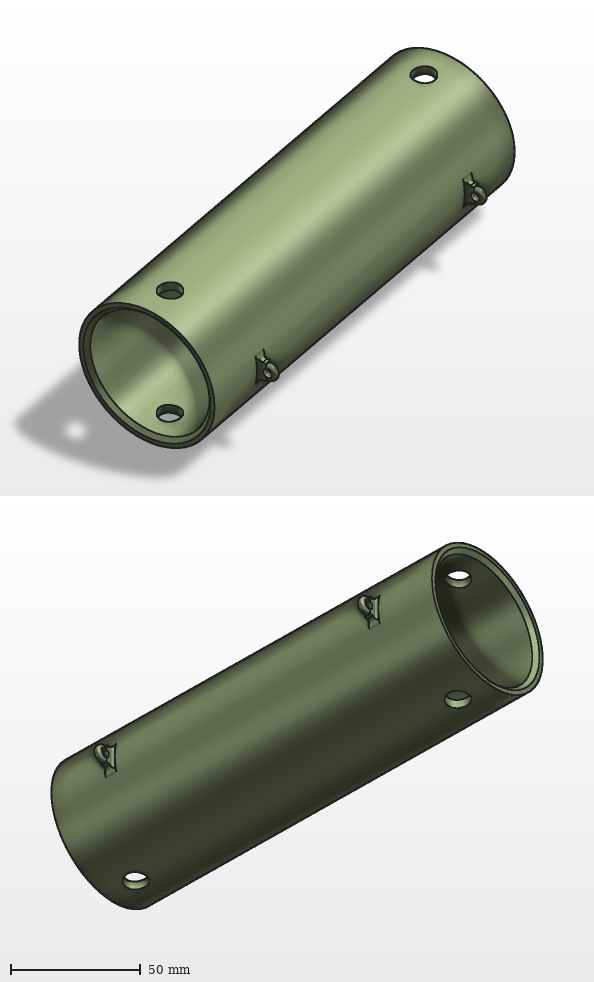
import cadquery as cq
import math

tube_length = 195.0
outer_diameter = 65.0
bore_diameter = 57.0
mouth_chamfer = 2.0

cross_hole_diameter = 10.3
cross_hole_inset = 15.0

eyelet_inset = 30.0
overall_width = 73.1
eyelet_diameter = 8.0
eyelet_hole_diameter = 4.0
eyelet_thickness = 3.0
eyelet_rounding = 1.2
neck_width = 8.5
neck_end = 35.9
flare_width = 14.0
flare_end = 34.3
flare_sag = 0.4
root_fillet = 1.2

outer_radius = outer_diameter / 2
eyelet_reach = overall_width - outer_radius
eyelet_center = eyelet_reach - eyelet_diameter / 2
neck_start = (outer_radius + bore_diameter / 2) / 2
flare_start = math.sqrt(outer_radius**2 - (flare_width / 2) ** 2)
flare_run = flare_end - flare_start
flare_rise = (flare_width - neck_width) / 2
flare_chord = math.hypot(flare_run, flare_rise)
flare_middle = (flare_start + flare_end) / 2 - flare_sag * flare_rise / flare_chord
flare_middle_height = (flare_width + neck_width) / 4 - flare_sag * flare_run / flare_chord
base_half_depth = eyelet_thickness / 2 + root_fillet
cross_hole_y = tube_length / 2 - cross_hole_inset
eyelet_y = tube_length / 2 - eyelet_inset


def centered_rod(diameter, length):
    """Cylinder along Y, centred on the origin."""
    return cq.Workplane("XZ").circle(diameter / 2).extrude(length / 2, both=True)


def flared_strip(workplane, start, middle, end, tip_x, depth):
    """Strip symmetric about X, narrowing along concave arcs from start through middle to end."""
    outline = (
        workplane.moveTo(neck_start, -start[1])
        .lineTo(start[0], -start[1])
        .threePointArc((middle[0], -middle[1]), (end[0], -end[1]))
        .lineTo(tip_x, -end[1])
        .lineTo(tip_x, end[1])
        .lineTo(*end)
        .threePointArc(middle, start)
        .lineTo(neck_start, start[1])
        .close()
    )
    return outline.extrude(depth / 2, both=True)


def make_eyelet():
    """Ring with rounded rims on a neck that flares into the tube wall."""
    ring = centered_rod(eyelet_diameter, eyelet_thickness).edges("%CIRCLE").fillet(eyelet_rounding)
    tall_flare = flared_strip(
        cq.Workplane("XZ"),
        (flare_start, flare_width / 2),
        (flare_middle, flare_middle_height),
        (flare_end, neck_width / 2),
        neck_end,
        2 * base_half_depth,
    )
    half_thickness = eyelet_thickness / 2
    fillet_end = outer_radius + root_fillet
    fillet_offset = root_fillet * math.sqrt(0.5)
    side_flare = flared_strip(
        cq.Workplane("XY"),
        (outer_radius, base_half_depth),
        (fillet_end - fillet_offset, base_half_depth - fillet_offset),
        (fillet_end, half_thickness),
        neck_end,
        flare_width,
    )
    neck = tall_flare.intersect(side_flare)
    return ring.translate((eyelet_center, 0, 0)).union(neck)


body = centered_rod(outer_diameter, tube_length)
for y in (-eyelet_y, eyelet_y):
    body = body.union(make_eyelet().translate((0, y, 0)))

bore = centered_rod(bore_diameter, tube_length)
body = body.cut(bore)
mouth_edges = body.faces("<Y or >Y").edges(cq.selectors.RadiusNthSelector(0))
body = mouth_edges.chamfer(mouth_chamfer)

for y in (-eyelet_y, eyelet_y):
    hole = centered_rod(eyelet_hole_diameter, 2 * eyelet_thickness)
    body = body.cut(hole.translate((eyelet_center, y, 0)))

cross_holes = (
    cq.Workplane("XY")
    .pushPoints([(0, -cross_hole_y), (0, cross_hole_y)])
    .circle(cross_hole_diameter / 2)
    .extrude(outer_diameter, both=True)
)

result = body.cut(cross_holes)